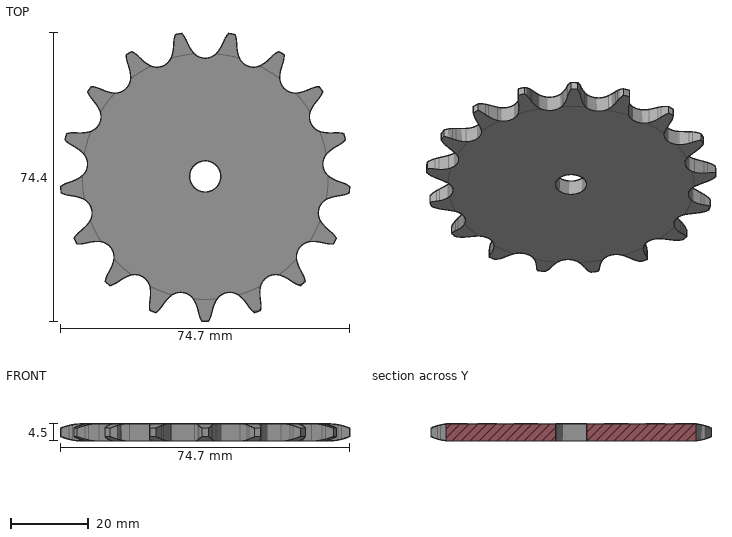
import cadquery as cq
import math

TOOTH_COUNT = 17
CHAIN_PITCH = 12.7
ROLLER_DIAMETER = 7.9

OVERALL_WIDTH = 74.7
THICKNESS = 4.5
BORE_DIAMETER = 8.0

RELIEF_START_RADIUS = 31.75
TIP_THICKNESS = 2.2

TOOTH_STEP = 360 / TOOTH_COUNT
HALF_STEP = TOOTH_STEP / 2
PITCH_RADIUS = CHAIN_PITCH / 2 / math.sin(math.radians(HALF_STEP))
SEATING_CLEARANCE = 0.04
SEATING_RADIUS = 1.005 * ROLLER_DIAMETER / 2 + SEATING_CLEARANCE
SEATING_ANGLE = 35 + 60 / TOOTH_COUNT
WORKING_ANGLE = 18 - 56 / TOOTH_COUNT
WORKING_CENTER_OFFSET = 0.8 * ROLLER_DIAMETER
WORKING_RADIUS = WORKING_CENTER_OFFSET + SEATING_RADIUS
TOPPING_CENTER_OFFSET = 1.4 * ROLLER_DIAMETER
TOPPING_ANGLE = 17 - 64 / TOOTH_COUNT
TOPPING_RADIUS = (
    WORKING_CENTER_OFFSET * math.cos(math.radians(WORKING_ANGLE))
    + TOPPING_CENTER_OFFSET * math.cos(math.radians(TOPPING_ANGLE))
    - WORKING_RADIUS
)


def polar(center, radius, degrees):
    """Point at a radius and direction from a center."""
    angle = math.radians(degrees)
    return (center[0] + radius * math.cos(angle), center[1] + radius * math.sin(angle))


def direction(start, end):
    """Direction in degrees from one point to another."""
    return math.degrees(math.atan2(end[1] - start[1], end[0] - start[0]))


def rotated(point, degrees):
    """Point turned about the sprocket axis."""
    return polar((0, 0), math.hypot(*point), direction((0, 0), point) + degrees)


ROLLER_CENTER = (0, PITCH_RADIUS)
WORKING_CENTER = polar(ROLLER_CENTER, WORKING_CENTER_OFFSET, 180 - SEATING_ANGLE)
TOPPING_CENTER = polar(ROLLER_CENTER, TOPPING_CENTER_OFFSET, -HALF_STEP)


def tip_corner():
    """Outer end of the topping arc, placed so that the widest teeth span the overall width.

    The widest tooth sits half a HALF_STEP below the +X axis, so the corner is
    found on its upper flank and then turned back to the gap centered on +Y.
    """
    turn = HALF_STEP / 2 - 90
    center = rotated(TOPPING_CENTER, turn)
    x = OVERALL_WIDTH / 2
    y = center[1] + math.sqrt(TOPPING_RADIUS**2 - (x - center[0]) ** 2)
    return rotated((x, y), -turn)


TIP_CORNER = tip_corner()
TIP_RADIUS = math.hypot(*TIP_CORNER)


def right_flank():
    """Flank on the +X side of the tooth gap centered on +Y, as points from the seat to the tip.

    The points are: seat end, middle and end of the concave working arc,
    end of the straight stretch, middle and end of the convex topping arc.
    """
    seat_end = -SEATING_ANGLE
    working_end = seat_end + WORKING_ANGLE
    topping_start = working_end + 180
    topping_middle = (topping_start + direction(TOPPING_CENTER, TIP_CORNER)) / 2
    return [
        polar(ROLLER_CENTER, SEATING_RADIUS, seat_end),
        polar(WORKING_CENTER, WORKING_RADIUS, (seat_end + working_end) / 2),
        polar(WORKING_CENTER, WORKING_RADIUS, working_end),
        polar(TOPPING_CENTER, TOPPING_RADIUS, topping_start),
        polar(TOPPING_CENTER, TOPPING_RADIUS, topping_middle),
        TIP_CORNER,
    ]


def toothed_disc():
    """Flat disc with the full tooth outline, one tooth gap centered on +Y."""
    flank = right_flank()
    mirrored_flank = [(-x, y) for x, y in flank]
    seat_bottom = (0, PITCH_RADIUS - SEATING_RADIUS)
    tooth_tip = polar((0, 0), TIP_RADIUS, 90 + HALF_STEP)

    outline = cq.Workplane("XY").workplane(offset=-THICKNESS / 2).moveTo(*TIP_CORNER)
    for index in range(TOOTH_COUNT):
        turn = index * TOOTH_STEP
        right = [rotated(point, turn) for point in flank]
        left = [rotated(point, turn) for point in mirrored_flank]
        next_corner = rotated(TIP_CORNER, turn + TOOTH_STEP)
        outline = (
            outline.threePointArc(right[4], right[3])
            .lineTo(*right[2])
            .threePointArc(right[1], right[0])
            .threePointArc(rotated(seat_bottom, turn), left[0])
            .threePointArc(left[1], left[2])
            .lineTo(*left[3])
            .threePointArc(left[4], left[5])
            .threePointArc(rotated(tooth_tip, turn), next_corner)
        )
    return outline.close().extrude(THICKNESS)


def relief_envelope():
    """Revolved blank whose sides curve in, tangent to the faces, toward the tooth tips."""
    half = THICKNESS / 2
    half_tip = TIP_THICKNESS / 2
    depth = half - half_tip
    width = TIP_RADIUS - RELIEF_START_RADIUS
    radius = (width**2 + depth**2) / (2 * depth)
    sweep = math.degrees(math.asin(width / radius))
    middle = polar((RELIEF_START_RADIUS, half - radius), radius, 90 - sweep / 2)
    return (
        cq.Workplane("XZ")
        .moveTo(0, -half)
        .lineTo(RELIEF_START_RADIUS, -half)
        .threePointArc((middle[0], -middle[1]), (TIP_RADIUS, -half_tip))
        .lineTo(TIP_RADIUS, half_tip)
        .threePointArc(middle, (RELIEF_START_RADIUS, half))
        .lineTo(0, half)
        .close()
        .revolve(360, (0, 0), (0, 1))
    )


def bore():
    """Cutter for the central through hole."""
    return cq.Workplane("XY").circle(BORE_DIAMETER / 2).extrude(THICKNESS, both=True)


result = toothed_disc().intersect(relief_envelope()).cut(bore())